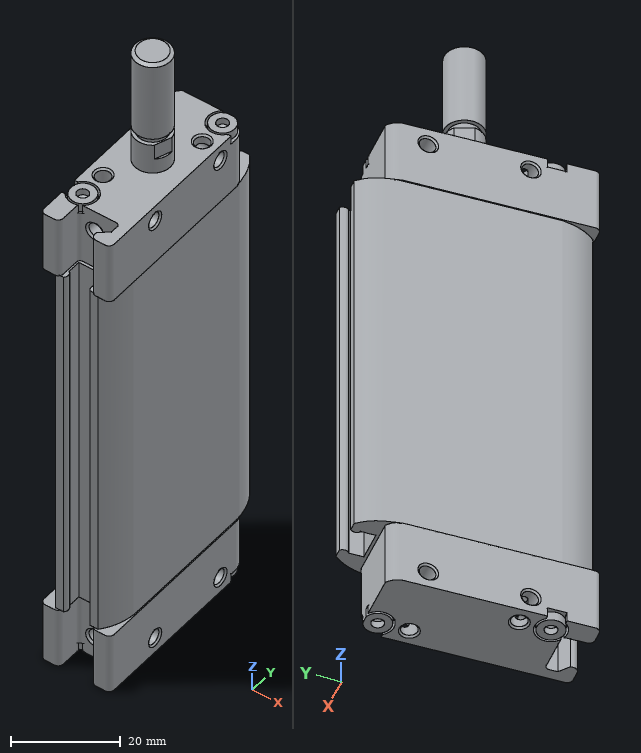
import cadquery as cq
import math


CAP_HEIGHT = 14.0
TUBE_LENGTH = 84.0
BODY_LENGTH = TUBE_LENGTH + 2 * CAP_HEIGHT
ROD_PROTRUSION = 27.0

ROD_DIA = 8.0
ROD_TIP_DIA = 6.4
ROD_TIP_CHAMFER_HEIGHT = 0.5
NECK_DIA = 6.4
NECK_BOTTOM = 7.0
NECK_TOP = 8.5
FLAT_BOTTOM = 3.5
FLAT_ACROSS = 7.0
FLAT_ANGLE = -20.0

TUBE_HALF_Y = 23.25
TUBE_HALF_X = 7.75
FLANK_HALF_Y = 16.3
SHOULDER_HALF_X = 7.55
SHOULDER_HALF_Y = 17.3
ARM_CURVE_MID = (6.65, 20.4)
ARM_END_X = 4.8
LIP_HALF_GAP = 2.6
LIP_EDGE_X = 3.0
LIP_INNER_Y = 21.4
TUBE_SLOT_HALF_X = 3.15
TUBE_SLOT_FLOOR_Y = 18.4

CAP_HALF_X = 8.0
CAP_FRONT_Y = -23.75
CAP_BACK_Y = 17.75
CAP_CORNER_START_Y = 14.9
CAP_CORNER_MID = (7.5, 16.5)
CAP_CORNER_END_X = 6.3
CAP_ARM_RADIUS = 1.2
CAP_SLOT_HALF_X = 3.55
CAP_SLOT_FLOOR_Y = -17.75
GROOVE_WALL_X = 5.65
SLOT_CORNER_RADIUS = 0.8
GROOVE_SIDE_END_Y = -20.3
GROOVE_MOUTH_Y = -22.0

THREAD_HOLE_DIA = 3.24
THREAD_MOUTH_DIA = 4.0
SIDE_HOLE_Y = 10.0
SIDE_HOLE_FROM_END = 3.65
PORT_MOUTH_DIA = 4.13
PORT_FROM_END = 5.0
PORT_DEPTH = 7.0
END_HOLE_X = 4.6
END_HOLE_Y = 9.0
END_HOLE_DEPTH = 6.0
DRILL_POINT_ANGLE = 118.0

SCREW_X = 4.65
SCREW_Y = 15.15
SCREW_RECESS_DIA = 6.4
SCREW_HEAD_DIA = 5.5
SCREW_RECESS_DEPTH = 2.0
SCREW_WINDOW_WIDTH = 3.8
SOCKET_DIA = 2.5
SOCKET_DEPTH = 1.5


def drill(dia, depth, mouth_dia=None):
    """Cutter along -Z from the origin: round bore, drill point and optional 45 degree countersink."""
    radius = dia / 2
    point_length = radius / math.tan(math.radians(DRILL_POINT_ANGLE / 2))
    outline = [(0, 0), (radius, 0), (radius, -depth), (0, -depth - point_length)]
    if mouth_dia:
        mouth_radius = mouth_dia / 2
        outline[1:2] = [(mouth_radius, 0), (radius, radius - mouth_radius)]
    return cq.Workplane("XZ").polyline(outline).close().revolve(360, (0, 0, 0), (0, 1, 0))


def build_tube():
    """Extruded tube with a round-lipped slot between curved arms at each Y end."""
    quarter_outline = (
        cq.Workplane("XY")
        .moveTo(TUBE_HALF_X, 0)
        .lineTo(TUBE_HALF_X, FLANK_HALF_Y)
        .lineTo(SHOULDER_HALF_X, SHOULDER_HALF_Y)
        .threePointArc(ARM_CURVE_MID, (ARM_END_X, TUBE_HALF_Y))
        .lineTo(LIP_EDGE_X, TUBE_HALF_Y)
        .threePointArc((LIP_HALF_GAP, (TUBE_HALF_Y + LIP_INNER_Y) / 2), (LIP_EDGE_X, LIP_INNER_Y))
        .lineTo(TUBE_SLOT_HALF_X, LIP_INNER_Y)
        .lineTo(TUBE_SLOT_HALF_X, TUBE_SLOT_FLOOR_Y)
        .lineTo(0, TUBE_SLOT_FLOOR_Y)
        .lineTo(0, 0)
    )
    quarter = quarter_outline.close().extrude(TUBE_LENGTH)
    end_half = quarter.union(quarter.mirror("YZ"))
    tube = end_half.union(end_half.mirror("XZ")).clean()
    return tube.translate((0, 0, CAP_HEIGHT))


def cap_slot():
    """Slot at the -Y end with rounded floor corners and an undercut sensor groove on +X."""
    beyond_y = CAP_FRONT_Y - 1
    corner_y = CAP_SLOT_FLOOR_Y - SLOT_CORNER_RADIUS
    arc_inset = SLOT_CORNER_RADIUS * (1 - math.sqrt(0.5))
    arc_mid_y = CAP_SLOT_FLOOR_Y - arc_inset
    return (
        cq.Workplane("XY")
        .moveTo(-CAP_SLOT_HALF_X, beyond_y)
        .lineTo(-CAP_SLOT_HALF_X, corner_y)
        .threePointArc(
            (-CAP_SLOT_HALF_X + arc_inset, arc_mid_y),
            (-CAP_SLOT_HALF_X + SLOT_CORNER_RADIUS, CAP_SLOT_FLOOR_Y),
        )
        .lineTo(GROOVE_WALL_X - SLOT_CORNER_RADIUS, CAP_SLOT_FLOOR_Y)
        .threePointArc((GROOVE_WALL_X - arc_inset, arc_mid_y), (GROOVE_WALL_X, corner_y))
        .lineTo(GROOVE_WALL_X, GROOVE_SIDE_END_Y)
        .lineTo(CAP_SLOT_HALF_X, GROOVE_MOUTH_Y)
        .lineTo(CAP_SLOT_HALF_X, beyond_y)
        .close()
        .extrude(CAP_HEIGHT)
    )


def screw_recess(side):
    """Ring around one screw head, its window in the side wall, and the round socket."""
    x = side * SCREW_X
    y = side * SCREW_Y
    floor_z = CAP_HEIGHT - SCREW_RECESS_DEPTH
    window_length = CAP_HALF_X - SCREW_X
    window = (
        cq.Workplane("XY", origin=(x + side * window_length / 2, y, floor_z))
        .rect(window_length, SCREW_WINDOW_WIDTH)
        .extrude(SCREW_RECESS_DEPTH)
    )
    recess = (
        cq.Workplane("XY", origin=(x, y, floor_z))
        .circle(SCREW_RECESS_DIA / 2)
        .extrude(SCREW_RECESS_DEPTH)
        .union(window)
    )
    head = (
        cq.Workplane("XY", origin=(x, y, floor_z))
        .circle(SCREW_HEAD_DIA / 2)
        .extrude(SCREW_RECESS_DEPTH)
    )
    socket = drill(SOCKET_DIA, SOCKET_DEPTH).translate((x, y, CAP_HEIGHT))
    return recess.cut(head).union(socket)


def build_cap():
    """Cap standing on Z = 0, with its outer face at Z = CAP_HEIGHT."""
    corner_mid_x, corner_mid_y = CAP_CORNER_MID
    cap = (
        cq.Workplane("XY")
        .moveTo(-CAP_HALF_X, CAP_FRONT_Y)
        .lineTo(CAP_HALF_X, CAP_FRONT_Y)
        .lineTo(CAP_HALF_X, CAP_CORNER_START_Y)
        .threePointArc(CAP_CORNER_MID, (CAP_CORNER_END_X, CAP_BACK_Y))
        .lineTo(-CAP_CORNER_END_X, CAP_BACK_Y)
        .threePointArc((-corner_mid_x, corner_mid_y), (-CAP_HALF_X, CAP_CORNER_START_Y))
        .close()
        .extrude(CAP_HEIGHT)
        .cut(cap_slot())
        .edges("|Z and <Y")
        .fillet(CAP_ARM_RADIUS)
    )

    for side in (-1, 1):
        cap = cap.cut(screw_recess(side))
        end_hole = drill(THREAD_HOLE_DIA, END_HOLE_DEPTH, THREAD_MOUTH_DIA)
        cap = cap.cut(end_hole.translate((side * END_HOLE_X, side * END_HOLE_Y, CAP_HEIGHT)))

    side_drill = drill(THREAD_HOLE_DIA, CAP_HALF_X, THREAD_MOUTH_DIA)
    for y in (-SIDE_HOLE_Y, SIDE_HOLE_Y):
        for side in (-1, 1):
            cutter = side_drill.rotate((0, 0, 0), (0, 1, 0), side * 90)
            place = (side * CAP_HALF_X, y, CAP_HEIGHT - SIDE_HOLE_FROM_END)
            cap = cap.cut(cutter.translate(place))

    port = drill(THREAD_HOLE_DIA, PORT_DEPTH, PORT_MOUTH_DIA).rotate((0, 0, 0), (1, 0, 0), 90)
    return cap.cut(port.translate((0, CAP_SLOT_FLOOR_Y, CAP_HEIGHT - PORT_FROM_END)))


def build_top_cap():
    """Cap with a through bore for the rod."""
    bore = cq.Workplane("XY").circle(ROD_DIA / 2).extrude(CAP_HEIGHT)
    return build_cap().cut(bore).translate((0, 0, BODY_LENGTH - CAP_HEIGHT))


def build_bottom_cap():
    """Mirror image of the plain cap, with its outer face down."""
    return build_cap().mirror("XY").translate((0, 0, CAP_HEIGHT))


def build_rod():
    """Rod standing on the tube, with a neck below its threaded end and two wrench flats."""
    rod_radius = ROD_DIA / 2
    neck_radius = NECK_DIA / 2
    rod = (
        cq.Workplane("XZ")
        .moveTo(0, -CAP_HEIGHT)
        .lineTo(rod_radius, -CAP_HEIGHT)
        .lineTo(rod_radius, NECK_BOTTOM)
        .lineTo(neck_radius, NECK_BOTTOM)
        .lineTo(neck_radius, NECK_TOP)
        .lineTo(rod_radius, NECK_TOP)
        .lineTo(rod_radius, ROD_PROTRUSION - ROD_TIP_CHAMFER_HEIGHT)
        .lineTo(ROD_TIP_DIA / 2, ROD_PROTRUSION)
        .lineTo(0, ROD_PROTRUSION)
        .close()
        .revolve(360, (0, 0, 0), (0, 1, 0))
    )
    flat_height = NECK_BOTTOM - FLAT_BOTTOM
    flats = (
        cq.Workplane("XY", origin=(0, 0, FLAT_BOTTOM))
        .circle(ROD_DIA)
        .extrude(flat_height)
        .cut(
            cq.Workplane("XY", origin=(0, 0, FLAT_BOTTOM))
            .rect(FLAT_ACROSS, 2 * ROD_DIA)
            .extrude(flat_height)
        )
        .rotate((0, 0, 0), (0, 0, 1), FLAT_ANGLE)
    )
    return rod.cut(flats).translate((0, 0, BODY_LENGTH))


tube = build_tube()
top_cap = build_top_cap()
bottom_cap = build_bottom_cap()
rod = build_rod()

result = cq.Compound.makeCompound([tube.val(), top_cap.val(), bottom_cap.val(), rod.val()])